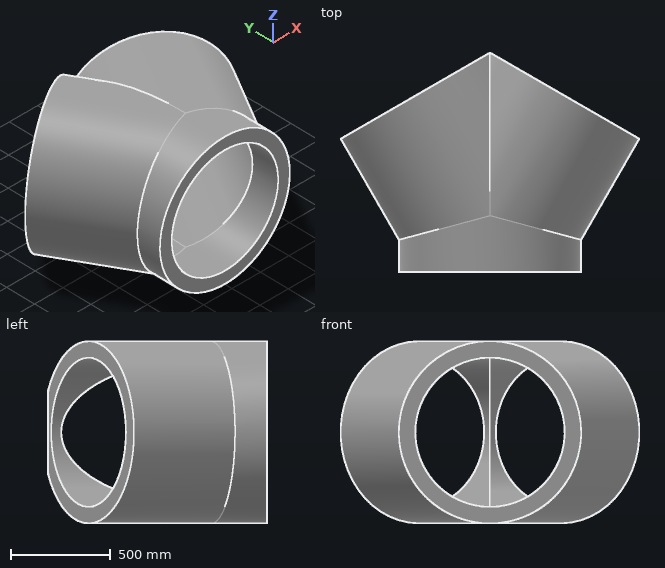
import cadquery as cq
import math

overall_width = 1500.0
overall_depth = 1101.0
outer_diameter = 915.0
bore_diameter = 749.0
branch_angle = 30.0

outer_radius = outer_diameter / 2
bore_radius = bore_diameter / 2
angle = math.radians(branch_angle)
branch_length = (overall_width / 2 - outer_radius * math.cos(angle)) / math.sin(angle)
junction_y = overall_depth - branch_length / math.cos(angle)
shoulder_y = junction_y - outer_radius * math.tan(angle / 2)
branch_tip_y = overall_depth - overall_width / 2 * math.tan(angle)

inlet_outline = [
    (-outer_radius, 0),
    (outer_radius, 0),
    (outer_radius, shoulder_y),
    (0, junction_y),
    (-outer_radius, shoulder_y),
]
branch_outline = [
    (0, junction_y),
    (outer_radius, shoulder_y),
    (overall_width / 2, branch_tip_y),
    (0, overall_depth),
]


def long_tube(direction):
    """Tube through the junction, longer than any segment at both ends."""
    reach = overall_width
    start = cq.Vector(0, junction_y, 0) - direction * reach
    outer = cq.Solid.makeCylinder(outer_radius, 2 * reach, start, direction)
    bore = cq.Solid.makeCylinder(bore_radius, 2 * reach, start, direction)
    return cq.Workplane(obj=outer.cut(bore))


def mitred_segment(direction, outline):
    """Length of tube trimmed to an outline in the XY plane."""
    envelope = cq.Workplane("XY").polyline(outline).close().extrude(outer_diameter, both=True)
    return long_tube(direction).intersect(envelope)


inlet = mitred_segment(cq.Vector(0, 1, 0), inlet_outline)
right_branch = mitred_segment(cq.Vector(math.sin(angle), math.cos(angle), 0), branch_outline)
left_branch = right_branch.mirror("YZ")

result = inlet.union(right_branch).union(left_branch)